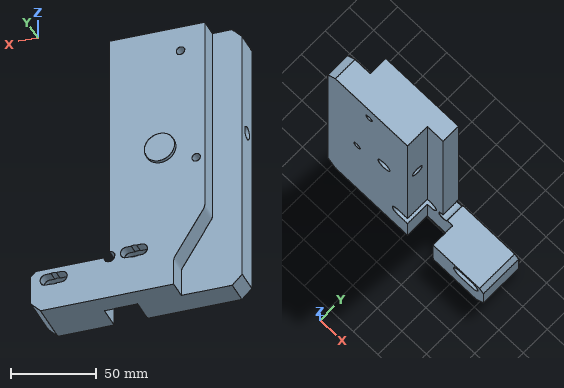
import cadquery as cq


height = 177.8
length = 127.0
front_layer = 16.5
depth = 29.5
back_layer = depth - front_layer
front_width = 65.0
back_left = 18.5
back_right = 77.9
block_left = 85.7
arm_height = 28.1
corner_chamfer = 6.2
arm_top_chamfer = 3.2
relief_radius = 3.4

slope_top = 49.6
slope_bottom = 17.8
slope_run = 19.4
slope_fillet = 5.5
foot_left = back_left + slope_run

small_hole_diameter = 5.2
small_hole_centers = [(33.6, 161.3), (23.8, 85.0)]
cross_hole_diameter = 8.0
cross_hole_z = 109.3

slot_centers = [(62.5, 28.6), (112.5, 20.8)]
slot_length = 16.7
slot_height = 7.3
pilot_diameter = 8.0
counterbore_length = 19.7
counterbore_height = 10.1
counterbore_depth = front_layer + back_layer / 2

button_center = (45.9, 95.7)
button_hole_diameter = 9.6
button_diameter = 18.8
button_height = 31.8 - depth


def xz_plane(y):
    """Workplane in X and Z at the given Y; a negative extrusion goes to the back."""
    return cq.Workplane("XZ", origin=(0, y, 0))


def make_front_plate():
    """Rectangular front layer with both left corners chamfered."""
    return (
        xz_plane(0)
        .moveTo(corner_chamfer, 0)
        .lineTo(front_width, 0)
        .lineTo(front_width, height)
        .lineTo(corner_chamfer, height)
        .lineTo(0, height - corner_chamfer)
        .lineTo(0, corner_chamfer)
        .close()
        .extrude(-front_layer)
    )


def make_upright():
    """Back layer behind the front plate, with a rounded slope low on its left side."""
    upright = (
        xz_plane(front_layer)
        .moveTo(foot_left, 0)
        .lineTo(back_right, 0)
        .lineTo(back_right, height)
        .lineTo(back_left, height)
        .lineTo(back_left, slope_top)
        .lineTo(foot_left, slope_bottom)
        .close()
        .extrude(-back_layer)
    )
    for corner in [(back_left, depth, slope_top), (foot_left, depth, slope_bottom)]:
        upright = upright.edges("|Y").edges(cq.NearestToPointSelector(corner)).fillet(slope_fillet)
    return upright


def make_arm(left, front, thickness):
    """Length of the foot arm from the given left side to the chamfered right end."""
    return (
        xz_plane(front)
        .moveTo(left, 0)
        .lineTo(length - corner_chamfer, 0)
        .lineTo(length, corner_chamfer)
        .lineTo(length, arm_height - arm_top_chamfer)
        .lineTo(length - arm_top_chamfer, arm_height)
        .lineTo(left, arm_height)
        .close()
        .extrude(-thickness)
    )


def make_bores(centers, diameter):
    """Round cutters along Y through the full depth."""
    return xz_plane(0).pushPoints(centers).circle(diameter / 2).extrude(-depth)


def make_slots():
    """Cutters for the slots: narrow slot, wider front part and round pilot hole."""
    slots = xz_plane(0).pushPoints(slot_centers).slot2D(slot_length, slot_height).extrude(-depth)
    counterbores = (
        xz_plane(0)
        .pushPoints(slot_centers)
        .slot2D(counterbore_length, counterbore_height)
        .extrude(-counterbore_depth)
    )
    return slots.union(counterbores).union(make_bores(slot_centers, pilot_diameter))


def make_cross_hole():
    """Cutter along X through the middle of the front layer."""
    return (
        cq.Workplane("YZ")
        .center(front_layer / 2, cross_hole_z)
        .circle(cross_hole_diameter / 2)
        .extrude(length)
    )


def make_plate():
    """Stepped plate with its foot arm, corner relief, holes and slots."""
    upright_and_arm = make_upright().union(make_arm(back_right, front_layer, back_layer))
    end_block = make_arm(block_left, 0, depth)
    body = make_front_plate().union(upright_and_arm).union(end_block)
    body = body.cut(make_bores([(back_right, arm_height)], 2 * relief_radius))
    body = body.cut(make_bores(small_hole_centers, small_hole_diameter))
    body = body.cut(make_bores([button_center], button_hole_diameter))
    return body.cut(make_cross_hole()).cut(make_slots())


def make_button():
    """Flat disc on the back face that closes the button hole."""
    return xz_plane(depth).center(*button_center).circle(button_diameter / 2).extrude(-button_height)


plate = make_plate()
button = make_button()
result = cq.Compound.makeCompound([plate.solids().val(), button.val()])